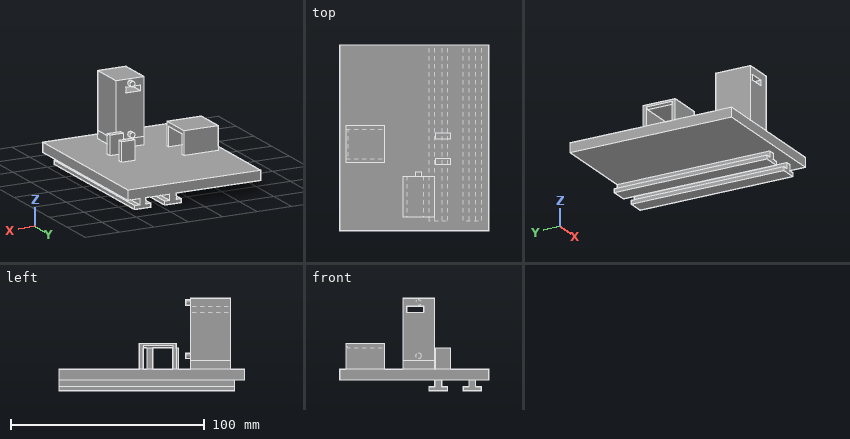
import cadquery as cq

plate_x = 77.2
plate_y = 96.05
plate_z = 5.6

rail_length = 90.9
rail_height = 5.6
rail_flange_z = 2.2
inner_rail_x = 12.4
inner_flange_width = 9.7
inner_web_width = 3.8
outer_rail_x = 30.0
outer_flange_width = 9.4
outer_web_width = 3.5

tower_x = 16.4
tower_y = 20.7
tower_center_x = 2.3
tower_front_y = -40.7
tower_height = 36.8
spacer_height = 4.5
slot_x = 8.6
slot_z = 3.1
slot_center_x = 0.5
slot_top_gap = 4.3

pin_diameter = 2.9
pin_length = 2.5
pin_x = 2.2
lower_pin_z = 6.9
pin_spacing = 27.6

bridge_x = 20.0
bridge_y = 19.2
bridge_height = 13.35
bridge_left_x = -35.3
bridge_front_y = -12.7
front_wall = 1.8
back_wall = 2.2
roof_z = 2.3
roof_chamfer = 1.2

tab_x = 7.9
tab_y = 3.1
tab_height = 11.0
tab_center_x = 14.9
front_tab_y = -13.8
tab_spacing = 13.3


def block(size_x, size_y, size_z, center_x, front_y, bottom_z):
    """Box placed by its centre in X, its -Y face and its bottom face."""
    return cq.Workplane("XY").box(size_x, size_y, size_z, centered=(True, False, False)).translate(
        (center_x, front_y, bottom_z)
    )


def make_rail(center_x, flange_width, web_width):
    rail_front_y = plate_y / 2 - rail_length
    rail_bottom_z = -plate_z - rail_height
    flange = block(flange_width, rail_length, rail_flange_z, center_x, rail_front_y, rail_bottom_z)
    web = block(web_width, rail_length, rail_height, center_x, rail_front_y, rail_bottom_z)
    return flange.union(web)


def make_plate():
    plate = block(plate_x, plate_y, plate_z, 0, -plate_y / 2, -plate_z)
    plate = plate.union(make_rail(inner_rail_x, inner_flange_width, inner_web_width))
    return plate.union(make_rail(outer_rail_x, outer_flange_width, outer_web_width))


def make_spacer():
    return block(tower_x, tower_y, spacer_height, tower_center_x, tower_front_y, 0)


def make_housing():
    housing_height = tower_height - spacer_height
    housing = block(tower_x, tower_y, housing_height, tower_center_x, tower_front_y, spacer_height)
    slot_bottom_z = tower_height - slot_top_gap - slot_z
    housing = housing.cut(block(slot_x, tower_y, slot_z, slot_center_x, tower_front_y, slot_bottom_z))
    tower_back_y = tower_front_y + tower_y
    for pin_z in (lower_pin_z, lower_pin_z + pin_spacing):
        pin_plane = cq.Workplane("XZ", origin=(pin_x, tower_back_y, pin_z))
        pin = pin_plane.circle(pin_diameter / 2).extrude(-pin_length)
        housing = housing.union(pin)
    return housing


def make_bridge():
    right_x = bridge_left_x + bridge_x
    bridge = block(bridge_x, bridge_y, bridge_height, bridge_left_x + bridge_x / 2, bridge_front_y, 0)
    opening_front_y = bridge_front_y + front_wall
    roof_bottom_z = bridge_height - roof_z
    opening_width = bridge_y - front_wall - back_wall
    opening = (
        cq.Workplane("XZ", origin=(0, opening_front_y, 0))
        .moveTo(bridge_left_x, 0)
        .lineTo(right_x, 0)
        .lineTo(right_x, roof_bottom_z)
        .lineTo(bridge_left_x + roof_chamfer, roof_bottom_z)
        .lineTo(bridge_left_x, roof_bottom_z + roof_chamfer)
        .close()
        .extrude(-opening_width)
    )
    return bridge.cut(opening)


def make_tab(front_y):
    return block(tab_x, tab_y, tab_height, tab_center_x, front_y, 0)


plate = make_plate()
spacer = make_spacer()
housing = make_housing()
bridge = make_bridge()
tabs = [make_tab(front_tab_y + index * tab_spacing) for index in range(2)]

result = cq.Compound.makeCompound(
    [plate.val(), spacer.val(), housing.val(), bridge.val(), *[tab.val() for tab in tabs]]
)